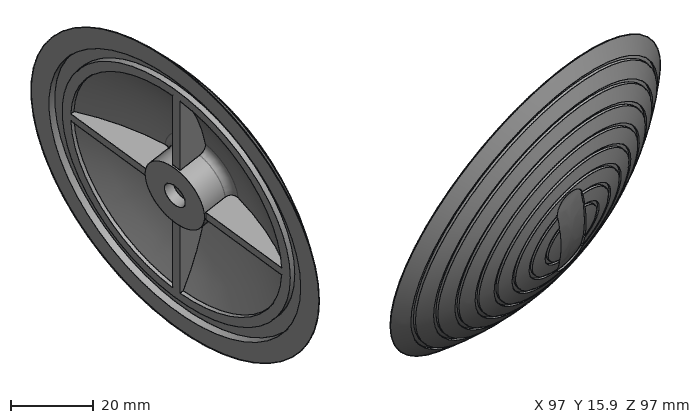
import cadquery as cq
import math

RIM_RADIUS = 48.5
RIM_EDGE = 0.2

DOME_RADIUS = 82.2
DOME_CENTRE = RIM_EDGE - math.sqrt(DOME_RADIUS**2 - RIM_RADIUS**2)
SHELL_THICKNESS = 5.7
HOLLOW_RADIUS = DOME_RADIUS - SHELL_THICKNESS
HOLLOW_MOUTH_RADIUS = 35.5

GROOVE_COUNT = 8
GROOVE_PITCH = 5.0
GROOVE_WIDTH = 1
FIRST_GROOVE_RADIUS = 8.7
SLOT_WIDTH = 9.0
SLOT_LENGTH = 35.9
CUT_DEPTH = 0.6

INNER_RECESS = 0.5
CHANNEL_INNER_RADIUS = 38.4
CHANNEL_OUTER_RADIUS = 42.4
CHANNEL_DEPTH = 2.0

HUB_RADIUS = 10.0
HUB_FILLET = 2.0
BORE_RADIUS = 3.5
BORE_DEPTH = 3.0
RIB_THICKNESS = 2.6
RIB_COUNT = 4

CLEARANCE = 29.1


def cylinder(radius, height):
    """Solid cylinder about the Y axis, from the base plane up to a height."""
    return cq.Workplane("XZ").circle(radius).extrude(-height)


def tube(inner_radius, outer_radius, height):
    """Tube about the Y axis, from the base plane up to a height."""
    return cq.Workplane("XZ").circle(outer_radius).circle(inner_radius).extrude(-height)


def ball(radius):
    """Sphere about the dome centre, with its poles on the Y axis."""
    half_disc = (
        cq.Workplane("XY")
        .moveTo(0, DOME_CENTRE - radius)
        .threePointArc((radius, DOME_CENTRE), (0, DOME_CENTRE + radius))
        .close()
    )
    return half_disc.revolve(360, (0, 0, 0), (0, 1, 0))


def dome():
    """Solid cap of the outer sphere above the base plane."""
    return cylinder(RIM_RADIUS, CLEARANCE).intersect(ball(DOME_RADIUS))


def dome_cuts():
    """Slot along Z and concentric grooves, with floors that follow the dome."""
    cuts = cq.Workplane("XZ").slot2D(SLOT_LENGTH, SLOT_WIDTH, 90).extrude(-CLEARANCE)
    for index in range(GROOVE_COUNT):
        inner_radius = FIRST_GROOVE_RADIUS + index * GROOVE_PITCH
        cuts = cuts.union(tube(inner_radius, inner_radius + GROOVE_WIDTH, CLEARANCE))
    return cuts.cut(ball(DOME_RADIUS - CUT_DEPTH))


def ribs():
    """Radial ribs, long enough to run into the hub and the inner ring."""
    arms = cq.Workplane("XY")
    for index in range(RIB_COUNT):
        arm = (
            cq.Workplane("XY")
            .box(CHANNEL_INNER_RADIUS, CLEARANCE, RIB_THICKNESS, centered=(False, False, True))
            .translate((0, INNER_RECESS, 0))
            .rotate((0, 0, 0), (0, 1, 0), index * 360 / RIB_COUNT)
        )
        arms = arms.add(arm)
    return arms.combine()


def hollow():
    """Space under the dome around the hub, filleted at the hub's root and split by the ribs."""
    space = cylinder(HOLLOW_MOUTH_RADIUS, CLEARANCE).intersect(ball(HOLLOW_RADIUS))
    space = space.cut(cylinder(HUB_RADIUS, CLEARANCE))
    hub_root = space.faces(">Y").edges(cq.selectors.RadiusNthSelector(0))
    return hub_root.fillet(HUB_FILLET).cut(ribs())


result = (
    dome()
    .cut(dome_cuts())
    .cut(hollow())
    .cut(tube(HUB_RADIUS, CHANNEL_OUTER_RADIUS, INNER_RECESS))
    .cut(tube(CHANNEL_INNER_RADIUS, CHANNEL_OUTER_RADIUS, CHANNEL_DEPTH))
    .cut(cylinder(BORE_RADIUS, BORE_DEPTH))
)